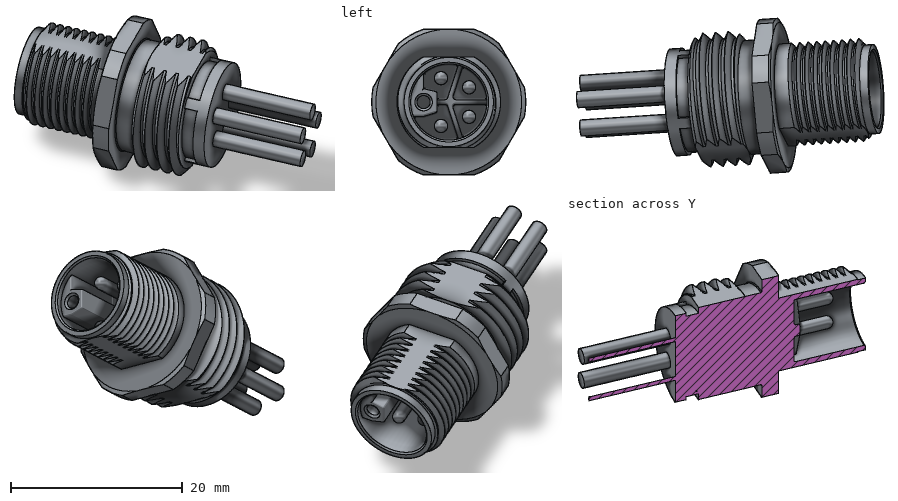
import cadquery as cq
import math


THREAD_START = 0.97
FLANGE_START = 10.92
FLANGE_END = 13.06
REAR_THREAD_START = 15.14
REAR_THREAD_END = 21.02
RING_START = 22.57
RING_END = 23.95
WIRE_END = 34.8

NOSE_RADIUS = 5.21
THREAD_RADIUS = 6.04
THREAD_ROOT_RADIUS = 5.41
THREAD_PITCH = 1.0
THREAD_CREST_X = 0.33
THREAD_HALF_TURNS = 18
THREAD_LEAD_IN = 0.5
THREAD_FLAT = 5.28

FLANGE_ACROSS_FLATS = 17.0
FLANGE_RADIUS = 9.0
FLANGE_FACE_RADIUS = 8.5
FLANGE_CHAMFER = 0.18

COLLAR_RADIUS = 6.66
COLLAR_FLARE = 0.12
REAR_RADIUS = 8.02
REAR_ROOT_RADIUS = 7.03
REAR_PITCH = 1.5
REAR_CREST_X = 14.97
REAR_HALF_TURNS = 8
REAR_LEAD_IN = 0.65
REAR_LEAD_OUT = 0.62
REAR_FLAT = COLLAR_RADIUS

CREST_WIDTH = 0.05
THREAD_HALF_ANGLE = 30.0
GROOVE_OVERSHOOT = 0.1

NECK_RADIUS = 5.84
RING_RADIUS = 6.26
POST_COUNT = 4
POST_ANGLE = 12.2

BORE_RADIUS = 4.45
BORE_DEPTH = 9.0
BORE_CHAMFER = 0.2
EDGE_RADIUS = 0.2
HUB_RADIUS = 0.35
HUB_REACH = 1.0
PICK_MARGIN = 0.01
FLOOR_OVERLAP = 0.2
BLANK_RADIUS = 6.0
RIB_WIDTH = 0.54
RIB_HEIGHT = 0.8
RIB_ANGLES = (0, 108, 180, 252)

CONTACT_COUNT = 5
CONTACT_CIRCLE_RADIUS = 2.93
PIN_RADIUS = 0.77
PIN_TIP_X = 3.2
WIRE_RADIUS = 0.955

BLOCK_FRONT_X = 0.9
BLOCK_INNER_Y = 1.39
BLOCK_INNER_HALF_Z = 1.2
BLOCK_OUTER_Y = 2.93
BLOCK_TOP_Z = 1.55
BLOCK_BOTTOM_Z = -1.68
SOCKET_RADIUS = 0.77
SOCKET_RIM_RADIUS = 1.02


def cylinder(start, end, radius, y=0.0, z=0.0):
    plane = cq.Workplane("YZ", origin=(start, y, z))
    return plane.circle(radius).extrude(end - start)


def revolved(points):
    """Solid of revolution about X from (x, radius) points."""
    outline = cq.Workplane("XZ").polyline(points).close()
    return outline.revolve(360, (0, 0, 0), (1, 0, 0))


def flats(start, end, distance):
    """Slab that trims a body to two flats facing +Z and -Z."""
    length = end - start
    slab = cq.Workplane("XY").box(length, 4 * distance, 2 * distance)
    return slab.translate(((start + end) / 2, 0, 0))


def half_turn_groove(start_x, start_angle, pitch, radius, root_radius):
    """Right-handed V groove running half a turn around X; angles from +Y toward +Z."""
    slope = math.tan(math.radians(THREAD_HALF_ANGLE))
    half_root = (pitch - CREST_WIDTH) / 2 - (radius - root_radius) * slope
    overshoot = GROOVE_OVERSHOOT * pitch
    half_outer = (pitch - CREST_WIDTH) / 2 + overshoot * slope
    helix = cq.Wire.makeHelix(pitch, pitch / 2, root_radius)
    profile = cq.Workplane("XZ").polyline([
        (root_radius, -half_root),
        (radius + overshoot, -half_outer),
        (radius + overshoot, half_outer),
        (root_radius, half_root),
    ]).close()
    groove = profile.sweep(cq.Workplane(helix), isFrenet=True)
    groove = groove.rotate((0, 0, 0), (1, 1, 1), 120)
    return groove.rotate((0, 0, 0), (1, 0, 0), start_angle).translate((start_x, 0, 0))


def cut_thread(body, crest_x, half_turns, pitch, radius, root_radius):
    """Cut a thread half a turn at a time, each half from flat to flat.

    The first groove lies on the +Y side, half a pitch after the crest at crest_x.
    """
    for i in range(half_turns):
        start_x = crest_x + (0.25 + 0.5 * i) * pitch
        body = body.cut(half_turn_groove(start_x, 180 * i - 90, pitch, radius, root_radius))
    return body


def front_barrel():
    body = revolved([
        (THREAD_START, 0),
        (THREAD_START, NOSE_RADIUS),
        (THREAD_START + THREAD_LEAD_IN, THREAD_RADIUS),
        (FLANGE_START, THREAD_RADIUS),
        (FLANGE_START, 0),
    ])
    body = body.intersect(flats(THREAD_START, FLANGE_START, THREAD_FLAT))
    body = cut_thread(body, THREAD_CREST_X, THREAD_HALF_TURNS, THREAD_PITCH,
                      THREAD_RADIUS, THREAD_ROOT_RADIUS)
    return body.union(cylinder(0, FLANGE_START, NOSE_RADIUS))


def flange():
    corner_diameter = FLANGE_ACROSS_FLATS / math.cos(math.pi / 6)
    hexagon = cq.Workplane("YZ", origin=(FLANGE_START, 0, 0)).polygon(6, corner_diameter)
    turned = revolved([
        (FLANGE_START, 0),
        (FLANGE_START, FLANGE_FACE_RADIUS),
        (FLANGE_START + FLANGE_CHAMFER, FLANGE_RADIUS),
        (FLANGE_END, FLANGE_RADIUS),
        (FLANGE_END, 0),
    ])
    return hexagon.extrude(FLANGE_END - FLANGE_START).intersect(turned)


def rear_barrel():
    collar = revolved([
        (FLANGE_END, 0),
        (FLANGE_END, COLLAR_RADIUS + COLLAR_FLARE),
        (FLANGE_END + COLLAR_FLARE, COLLAR_RADIUS),
        (REAR_THREAD_START, COLLAR_RADIUS),
        (REAR_THREAD_START, 0),
    ])
    body = revolved([
        (REAR_THREAD_START, 0),
        (REAR_THREAD_START, COLLAR_RADIUS),
        (REAR_THREAD_START + REAR_LEAD_IN, REAR_RADIUS),
        (REAR_THREAD_END - REAR_LEAD_OUT, REAR_RADIUS),
        (REAR_THREAD_END, REAR_ROOT_RADIUS),
        (REAR_THREAD_END, 0),
    ])
    body = body.intersect(flats(REAR_THREAD_START, REAR_THREAD_END, REAR_FLAT))
    body = cut_thread(body, REAR_CREST_X, REAR_HALF_TURNS, REAR_PITCH,
                      REAR_RADIUS, REAR_ROOT_RADIUS)
    return collar.union(body)


def rear_ring():
    """Neck and end ring, tied by four posts between the recesses."""
    ring = cylinder(REAR_THREAD_END, RING_START, NECK_RADIUS)
    ring = ring.union(cylinder(RING_START, RING_END, RING_RADIUS))
    post_ring = cylinder(REAR_THREAD_END, RING_START, RING_RADIUS)
    reach = 2 * RING_RADIUS
    half_width = reach * math.tan(math.radians(POST_ANGLE / 2))
    wedge = cq.Workplane("YZ", origin=(REAR_THREAD_END, 0, 0))
    wedge = wedge.polyline([(0, 0), (reach, -half_width), (reach, half_width)]).close()
    post = wedge.extrude(RING_START - REAR_THREAD_END).intersect(post_ring)
    for i in range(POST_COUNT):
        angle = 360 / POST_COUNT * (i + 0.5)
        ring = ring.union(post.rotate((0, 0, 0), (1, 0, 0), angle))
    return ring


def bore():
    """Socket cavity with an entry chamfer and a rounded floor edge."""
    cavity = cylinder(0, BORE_DEPTH, BORE_RADIUS).faces(">X").edges().fillet(EDGE_RADIUS)
    entry = revolved([
        (0, 0),
        (0, BORE_RADIUS + BORE_CHAMFER),
        (BORE_CHAMFER, BORE_RADIUS),
        (BORE_CHAMFER, 0),
    ])
    return cavity.union(entry)


def rib_cross():
    """Radial ribs on the cavity floor, blended where they meet and rounded along the top."""
    start = cq.Workplane("YZ", origin=(BORE_DEPTH - RIB_HEIGHT, BLANK_RADIUS / 2, 0))
    bar = start.rect(BLANK_RADIUS, RIB_WIDTH).extrude(RIB_HEIGHT)
    ribs = bar
    for angle in RIB_ANGLES[1:]:
        ribs = ribs.union(bar.rotate((0, 0, 0), (1, 0, 0), angle))
    near_hub = cq.selectors.BoxSelector((0, -HUB_REACH, -HUB_REACH),
                                        (BORE_DEPTH, HUB_REACH, HUB_REACH))
    ribs = ribs.edges("|X").edges(near_hub).fillet(HUB_RADIUS)
    return ribs.faces("<X").edges().fillet(EDGE_RADIUS)


def contact_block():
    """Keyed block reaching from the cavity floor to near the mating face."""
    outside = BLANK_RADIUS
    outline = cq.Workplane("YZ", origin=(BLOCK_FRONT_X, 0, 0)).polyline([
        (BLOCK_OUTER_Y, outside),
        (BLOCK_OUTER_Y, BLOCK_TOP_Z),
        (BLOCK_INNER_Y, BLOCK_INNER_HALF_Z),
        (BLOCK_INNER_Y, -BLOCK_INNER_HALF_Z),
        (BLOCK_OUTER_Y, BLOCK_BOTTOM_Z),
        (outside, BLOCK_BOTTOM_Z),
        (outside, outside),
    ]).close()
    block = outline.extrude(BORE_DEPTH - BLOCK_FRONT_X)
    block = block.edges("|X").edges("<Y").fillet(EDGE_RADIUS)
    return block.faces("<X").edges().fillet(EDGE_RADIUS)


def flared_on_floor(body):
    """Stand a body on the cavity floor with a filleted foot, trimmed to the bore."""
    floor_end = BORE_DEPTH + FLOOR_OVERLAP
    floor = cq.Workplane("YZ", origin=(BORE_DEPTH, 0, 0))
    body = body.union(floor.rect(4 * BLANK_RADIUS, 4 * BLANK_RADIUS).extrude(FLOOR_OVERLAP))
    reach = BLANK_RADIUS + 1
    floor_plane = cq.selectors.BoxSelector((BORE_DEPTH - PICK_MARGIN, -reach, -reach),
                                           (BORE_DEPTH + PICK_MARGIN, reach, reach))
    body = body.faces(floor_plane).edges(floor_plane).fillet(EDGE_RADIUS)
    return body.intersect(cylinder(0, floor_end, BORE_RADIUS + FLOOR_OVERLAP))


def contact_socket():
    depth = SOCKET_RIM_RADIUS - SOCKET_RADIUS
    hole = revolved([
        (BLOCK_FRONT_X, 0),
        (BLOCK_FRONT_X, SOCKET_RIM_RADIUS),
        (BLOCK_FRONT_X + depth, SOCKET_RADIUS),
        (BORE_DEPTH, SOCKET_RADIUS),
        (BORE_DEPTH, 0),
    ])
    return hole.translate((0, CONTACT_CIRCLE_RADIUS, 0))


def contact_position(index):
    angle = 2 * math.pi * index / CONTACT_COUNT
    return CONTACT_CIRCLE_RADIUS * math.cos(angle), CONTACT_CIRCLE_RADIUS * math.sin(angle)


def pin(index):
    """Contact pin with a hemispherical tip."""
    y, z = contact_position(index)
    centre_x = PIN_TIP_X + PIN_RADIUS
    tip = cq.Workplane("XY").sphere(PIN_RADIUS).translate((centre_x, y, z))
    return cylinder(centre_x, BORE_DEPTH + EDGE_RADIUS, PIN_RADIUS, y, z).union(tip)


def wire(index):
    y, z = contact_position(index)
    return cylinder(RING_START, WIRE_END, WIRE_RADIUS, y, z)


def housing():
    return front_barrel().union(flange()).union(rear_barrel()).cut(bore())


def insert():
    """Everything standing on the cavity floor."""
    body = flared_on_floor(rib_cross()).union(flared_on_floor(contact_block()))
    body = body.cut(contact_socket())
    for index in range(1, CONTACT_COUNT):
        body = body.union(pin(index))
    return body


def rear_end():
    body = rear_ring()
    for index in range(CONTACT_COUNT):
        body = body.union(wire(index))
    return body


result = housing().union(insert()).union(rear_end())